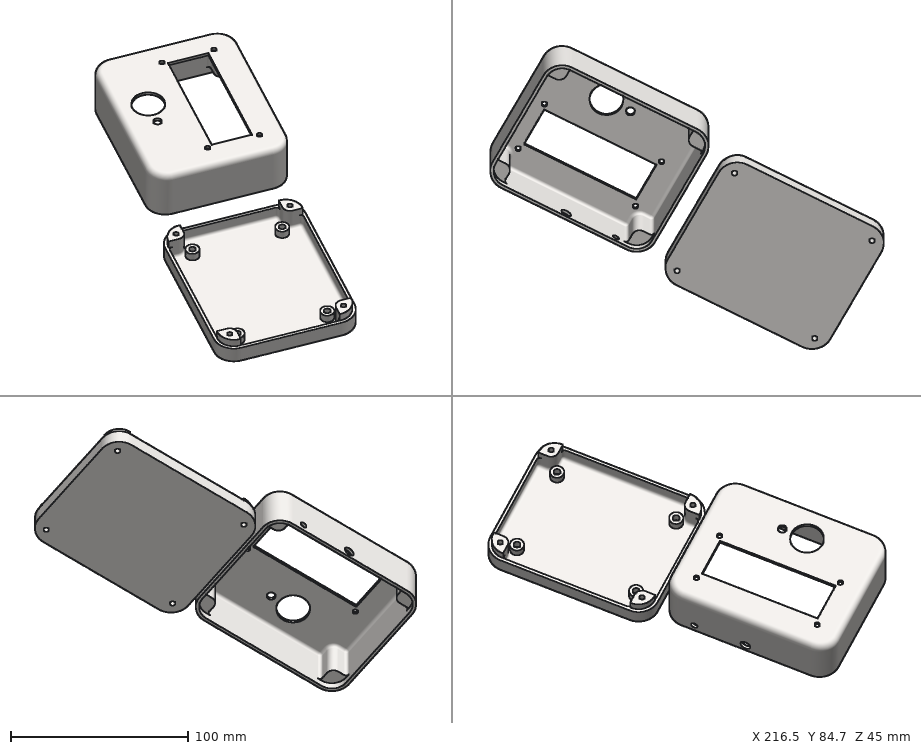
import cadquery as cq

total_length = 216.5
case_length = 104.0
case_width = 84.5
case_gap = total_length - 2 * case_length
base_shift_y = 0.2

wall = 2.0
corner_radius = 12.0
inner_length = case_length - 2 * wall
inner_width = case_width - 2 * wall
inner_fillet = 2.0

screw_inset = 8.0
post_radius = 4.5
post_reach = screw_inset + post_radius - wall
screw_diameter = 3.0

base_height = 10.0
post_rise = 5.0
post_top = base_height + post_rise

standoff_diameter = 8.0
standoff_hole_diameter = 4.0
standoff_height = 5.0
standoff_spacing_x = 74.0
standoff_spacing_y = 53.9

housing_height = 30.0
housing_bottom = post_top
top_fillet = 4.0

window_length = 71.8
window_width = 24.2
window_x = 0.2
window_y = 11.3
mount_spacing_x = 75.0
mount_spacing_y = 31.2
mount_y = 11.7
mount_diameter = 3.0

knob_diameter = 19.0
knob_x = -7.8
lamp_diameter = 5.0
lamp_x = 7.5
control_y = -23.0

socket_diameter = 6.0
socket_x = 0.5
cable_diameter = 4.0
cable_x = 32.2
back_hole_height = 5.0


def rounded_block(length, width, height, radius):
    """Upright block with rounded vertical edges, standing on Z = 0."""
    return (
        cq.Workplane("XY")
        .box(length, width, height, centered=(True, True, False))
        .edges("|Z")
        .fillet(radius)
    )


def corner_posts(height):
    """Four posts that fill the cavity's corners, each rounded around its screw."""
    block_size = 2 * post_reach
    blocks = (
        cq.Workplane("XY")
        .rect(inner_length, inner_width, forConstruction=True)
        .vertices()
        .rect(block_size, block_size)
        .extrude(height)
        .edges("|Z")
        .fillet(post_radius)
    )
    return blocks.intersect(rounded_block(inner_length, inner_width, height, corner_radius - wall))


def cavity(depth):
    """Space between the walls and posts, with its floor at Z = 0.

    The floor edge and the corners where posts meet walls are rounded.
    """
    posts = corner_posts(depth)
    room = rounded_block(inner_length, inner_width, depth, corner_radius - wall).cut(posts)
    half_length = inner_length / 2
    half_width = inner_width / 2
    meeting_points = [
        point
        for side_x in (-1, 1)
        for side_y in (-1, 1)
        for point in (
            (side_x * half_length, side_y * (half_width - post_reach)),
            (side_x * (half_length - post_reach), side_y * half_width),
        )
    ]
    meeting_edges = [
        room.edges(cq.NearestToPointSelector((x, y, depth / 2))).val() for x, y in meeting_points
    ]
    floor_edges = room.faces("<Z").edges().vals()
    return room.newObject(meeting_edges + floor_edges).fillet(inner_fillet)


def make_base():
    screw_spacing_x = case_length - 2 * screw_inset
    screw_spacing_y = case_width - 2 * screw_inset
    standoff_top = wall + standoff_height
    base = (
        rounded_block(case_length, case_width, base_height, corner_radius)
        .cut(cavity(base_height - wall).translate((0, 0, wall)))
        .union(corner_posts(post_top - wall).translate((0, 0, wall)))
    )
    standoffs = (
        cq.Workplane("XY")
        .rect(standoff_spacing_x, standoff_spacing_y, forConstruction=True)
        .vertices()
        .circle(standoff_diameter / 2)
        .extrude(standoff_top)
    )
    standoff_holes = (
        cq.Workplane("XY", origin=(0, 0, wall))
        .rect(standoff_spacing_x, standoff_spacing_y, forConstruction=True)
        .vertices()
        .circle(standoff_hole_diameter / 2)
        .extrude(standoff_height)
    )
    screw_holes = (
        cq.Workplane("XY")
        .rect(screw_spacing_x, screw_spacing_y, forConstruction=True)
        .vertices()
        .circle(screw_diameter / 2)
        .extrude(post_top)
    )
    return base.union(standoffs).cut(standoff_holes).cut(screw_holes)


def housing_shell():
    """Open-bottomed case whose corner posts stop short of the rim to receive the base posts."""
    cavity_depth = housing_height - wall
    hollow = cavity(cavity_depth).mirror("XY").translate((0, 0, cavity_depth))
    post_sockets = rounded_block(inner_length, inner_width, post_rise, corner_radius - wall)
    return (
        rounded_block(case_length, case_width, housing_height, corner_radius)
        .faces(">Z")
        .edges()
        .fillet(top_fillet)
        .cut(hollow)
        .cut(post_sockets)
    )


def top_openings():
    sketch_plane = cq.Workplane("XY", origin=(0, 0, housing_height - wall))
    window = sketch_plane.center(window_x, window_y).rect(window_length, window_width).extrude(wall)
    mount_holes = (
        sketch_plane.center(window_x, mount_y)
        .rect(mount_spacing_x, mount_spacing_y, forConstruction=True)
        .vertices()
        .circle(mount_diameter / 2)
        .extrude(wall)
    )
    knob_hole = sketch_plane.center(knob_x, control_y).circle(knob_diameter / 2).extrude(wall)
    lamp_hole = sketch_plane.center(lamp_x, control_y).circle(lamp_diameter / 2).extrude(wall)
    return window.union(mount_holes).union(knob_hole).union(lamp_hole)


def back_hole(x, diameter):
    return (
        cq.Workplane("XZ", origin=(x, case_width / 2, back_hole_height))
        .circle(diameter / 2)
        .extrude(wall)
    )


def make_housing():
    return (
        housing_shell()
        .cut(top_openings())
        .cut(back_hole(socket_x, socket_diameter))
        .cut(back_hole(cable_x, cable_diameter))
    )


body_offset = (case_length + case_gap) / 2
housing = make_housing().translate((-body_offset, 0, housing_bottom))
base = make_base().translate((body_offset, base_shift_y, 0))

result = cq.Compound.makeCompound([housing.val(), base.val()])